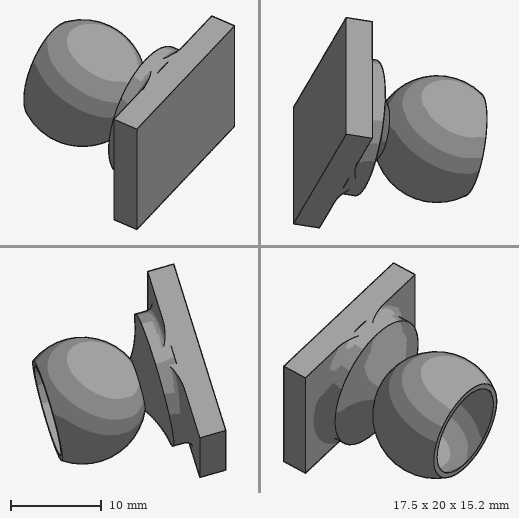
import cadquery as cq
import math

ball_radius = 7.0
wall = 0.5
cavity_radius = ball_radius - wall
mouth_x = -4.0

plate_thickness = 3.0
plate_width = 20.0
plate_height = 15.0
plate_front_x = 10.5

collar_radius = 7.575
collar_front_x = 8.25
root_fillet = 1.0

neck_radius = 2.94
flare_radius = 12.0
neck_x = math.sqrt(ball_radius**2 - neck_radius**2)


def arc_midpoint(start, end, radius):
    """Middle of the arc that bulges to the right of the direction start -> end."""
    dx = end[0] - start[0]
    dy = end[1] - start[1]
    chord = math.hypot(dx, dy)
    sagitta = radius - math.sqrt(radius**2 - (chord / 2) ** 2)
    mid_x = (start[0] + end[0]) / 2 + sagitta * dy / chord
    mid_y = (start[1] + end[1]) / 2 - sagitta * dx / chord
    return (mid_x, mid_y)


def spin(profile):
    """Revolve a closed XY profile around the X axis."""
    return profile.close().revolve(360, (0, 0, 0), (1, 0, 0))


def plate_block(front_x):
    """Block with the plate's outline, from front_x to the back of the plate."""
    depth = plate_front_x + plate_thickness - front_x
    block = cq.Workplane("XY").box(depth, plate_width, plate_height, centered=(False, True, True))
    return block.translate((front_x, 0, 0))


def make_ball_neck_and_collar():
    """Hollow ball, concave flare and straight collar in one turned profile."""
    ball_rim = (mouth_x, math.sqrt(ball_radius**2 - mouth_x**2))
    cavity_rim = (mouth_x, math.sqrt(cavity_radius**2 - mouth_x**2))
    flare_start = (neck_x, neck_radius)
    flare_end = (collar_front_x, collar_radius)
    profile = (
        cq.Workplane("XY")
        .moveTo(*cavity_rim)
        .lineTo(*ball_rim)
        .threePointArc((0, ball_radius), flare_start)
        .threePointArc(arc_midpoint(flare_start, flare_end, flare_radius), flare_end)
        .lineTo(plate_front_x, collar_radius)
        .lineTo(plate_front_x, 0)
        .lineTo(cavity_radius, 0)
        .threePointArc((0, cavity_radius), cavity_rim)
    )
    return spin(profile)


def make_root_fillet():
    """Concave ring between collar and plate, cut off flush with the plate's edges."""
    fillet_start_x = plate_front_x - root_fillet
    fillet_start = (fillet_start_x, collar_radius)
    fillet_end = (plate_front_x, collar_radius + root_fillet)
    profile = (
        cq.Workplane("XY")
        .moveTo(fillet_start_x, 0)
        .lineTo(*fillet_start)
        .threePointArc(arc_midpoint(fillet_start, fillet_end, root_fillet), fillet_end)
        .lineTo(plate_front_x, 0)
    )
    return spin(profile).intersect(plate_block(fillet_start_x))


body = make_ball_neck_and_collar()
body = body.union(make_root_fillet())
result = body.union(plate_block(plate_front_x))